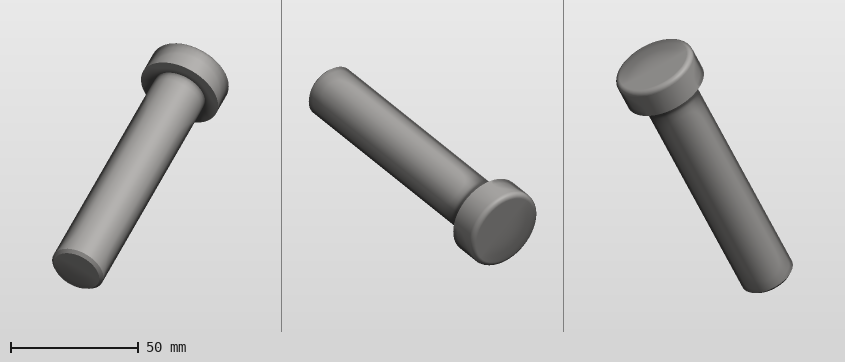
import cadquery as cq

total_length = 112.0
head_diameter = 33.0
head_length = 12.0
head_edge_radius = 2.0
shank_diameter = 22.0
tip_chamfer = 1.2

shank_length = total_length - head_length


def disc_along_y(diameter, start_y, length):
    """Cylinder on the Y axis that runs toward +Y from start_y."""
    return cq.Workplane("XZ", origin=(0, start_y, 0)).circle(diameter / 2).extrude(-length)


shank = disc_along_y(shank_diameter, 0, shank_length).faces("<Y").edges().chamfer(tip_chamfer)

head = disc_along_y(head_diameter, shank_length, head_length).faces(">Y").edges().fillet(head_edge_radius)

result = shank.union(head)